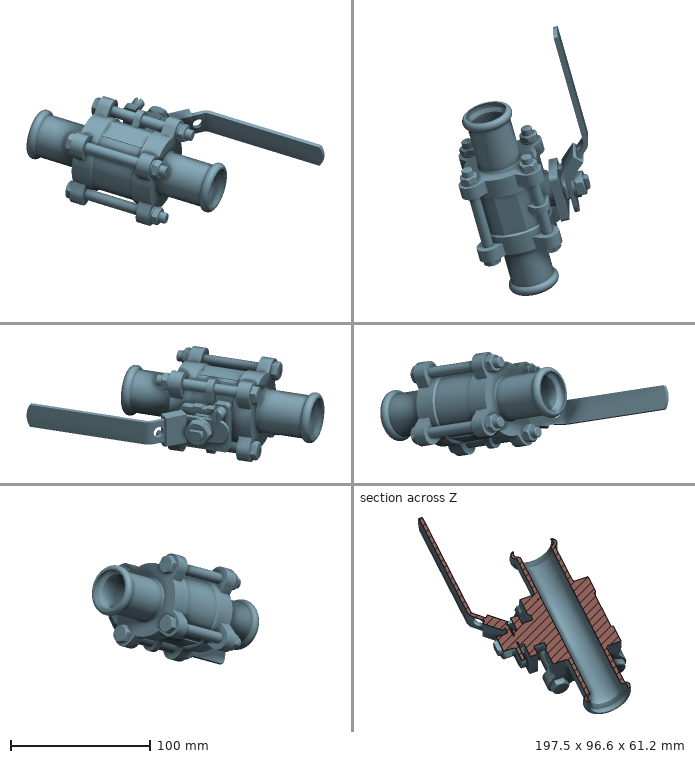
import cadquery as cq
import math


overall_length = 143.6
tube_diameter = 31.5
flow_bore = 25.4
bead_diameter = 36.8
bead_section_radius = 3.75
rim_diameter = 32.4
mouth_diameter = 29.8
groove_diameter = 32.0
groove_edge_diameter = 31.6
groove_depth = 4.6
taper_end_depth = 6.6
collar_diameter = 33.3
collar_length = 1.3

flange_diameter = 54.0
flange_outer_x = 31.0
flange_inner_x = 16.3
body_end_x = 15.4
body_diameter = 51.0
pad_width = 16.4
pad_height = 49.4
lug_offset = 22.0
lug_radius = 8.595
lug_length = 9.6
lug_taper = math.radians(8)
tab_radius = 6.8
tab_length = 5.0
tab_taper = math.radians(-6)

bolt_diameter = 8.0
bolt_end_x = 41.9
bolt_end_chamfer = 0.5
hex_across_flats = 12.0
head_height = 4.7
nut_height = 4.8
hex_rim_ratio = 0.96
hex_chamfer_angle = math.radians(38)
spring_washer_diameter = 12.4
spring_washer_height = 1.2

neck_diameter = 24.0
plate_bottom_y = 33.0
plate_top_y = 39.0
plate_width = 37.3
plate_corner_radius = 3.1
plate_step_x = 8.7
plate_low_z = 14.0
plate_step_z = 13.0
plate_slot_half = 2.0
gland_washer_diameter = 16.2
gland_washer_top_y = 40.2
gland_nut_flats = 19.0
gland_nut_top_y = 42.4
handle_bottom_y = 43.0
stem_washer_diameter = 17.4
stem_washer_top_y = 48.3
stem_nut_flats = 17.0
stem_nut_top_y = 55.0
stem_diameter = 11.3
stem_flat_width = 6.8
stem_top_y = 58.0
stem_chamfer = 1.0

post_diameter = 8.5
post_offset = 12.9
post_top_y = 48.5
post_slot_width = 1.6
post_slot_depth = 2.4
post_tail_diameter = 3.2
tail_bottom_y = 32.3

handle_top_y = 96.59 - lug_offset - lug_radius
handle_thickness = 3.0
handle_width = 17.4
handle_start_x = -21.0
handle_end_x = 197.45 - overall_length / 2
handle_tip_sag = 2.5
handle_bend_x = 12.8
handle_bend_radius = 5.0
lock_hole_diameter = 7.94
lock_hole_y = 59.5

sleeve_length = 16.2
sleeve_height = 8.7
sleeve_width = 22.3
sleeve_centre_y = 50.5
tongue_left_x = 14.4
tongue_thickness = 2.5
tongue_width = 8.0


def x_cylinder(diameter, x_start, x_end, y=0.0, z=0.0):
    """Round bar parallel to X."""
    return cq.Workplane("YZ", origin=(x_start, y, z)).circle(diameter / 2).extrude(x_end - x_start)


def turned(profile):
    """Solid of revolution about X from a closed outline of (x, radius) points."""
    return cq.Workplane("XY").polyline(profile).close().revolve(360, (0, 0, 0), (1, 0, 0))


def y_cylinder(diameter, y_start, y_end, x=0.0, z=0.0):
    """Round bar parallel to Y."""
    return cq.Workplane("XZ", origin=(x, y_start, z)).circle(diameter / 2).extrude(y_start - y_end)


def hex_prism(plane, across_flats, height, turn=0.0):
    """Hexagonal prism rising along +Z of the plane; a turn of 0 puts a corner on the plane's X axis."""
    across_corners = across_flats / math.cos(math.pi / 6)
    return (
        cq.Workplane(plane)
        .transformed(rotate=(0, 0, turn))
        .polygon(6, across_corners)
        .extrude(height)
    )


def tapered_lug(radius, taper, x_start, length, y_sign, z_sign):
    """Rounded lug at a bolt position; a positive taper widens it towards the flow axis."""
    reach = math.hypot(lug_offset, lug_offset)
    tangent_x = reach + radius * math.sin(taper)
    tangent_y = radius * math.cos(taper)
    root_y = tangent_y + tangent_x * math.tan(taper)
    direction = math.degrees(math.atan2(z_sign, y_sign))
    return (
        cq.Workplane("YZ", origin=(x_start, 0, 0))
        .transformed(rotate=(0, 0, direction))
        .moveTo(0, -root_y)
        .lineTo(tangent_x, -tangent_y)
        .threePointArc((reach + radius, 0), (tangent_x, tangent_y))
        .lineTo(0, root_y)
        .close()
        .extrude(length)
    )


def end_piece():
    """Press end, collar and lugged flange on the -X side, not yet bored."""
    end_x = -overall_length / 2
    bead_ring_radius = bead_diameter / 2 - bead_section_radius
    bead_x = end_x + math.sqrt(bead_section_radius**2 - (rim_diameter / 2 - bead_ring_radius) ** 2)
    piece = x_cylinder(tube_diameter, end_x, -flange_outer_x)
    bead = cq.Workplane("XY").center(bead_x, bead_ring_radius).circle(bead_section_radius)
    bead = bead.revolve(360, (0, -bead_ring_radius, 0), (1, -bead_ring_radius, 0))
    piece = piece.union(bead)
    piece = piece.cut(x_cylinder(bead_diameter, end_x - bead_section_radius, end_x))
    flange_profile = [
        (-flange_outer_x - collar_length, 0),
        (-flange_outer_x - collar_length, tube_diameter / 2),
        (-flange_outer_x, collar_diameter / 2),
        (-flange_outer_x, flange_diameter / 2),
        (-flange_inner_x, flange_diameter / 2),
        (-body_end_x, body_diameter / 2),
        (-body_end_x, 0),
    ]
    piece = piece.union(turned(flange_profile))
    for y_sign in (-1, 1):
        for z_sign in (-1, 1):
            lug = tapered_lug(lug_radius, lug_taper, -flange_outer_x, lug_length, y_sign, z_sign)
            piece = piece.union(lug)
    return piece


def centre_body():
    """Round body with flat pads above and below, and tabs around the two bolts on the stem side."""
    body = x_cylinder(body_diameter, -body_end_x, body_end_x)
    body = body.intersect(cq.Workplane("XY").box(2 * body_end_x, body_diameter, pad_height))
    body = body.union(cq.Workplane("XY").box(2 * body_end_x, pad_width, pad_height))
    for z_sign in (-1, 1):
        body = body.union(tapered_lug(tab_radius, tab_taper, -tab_length / 2, tab_length, 1, z_sign))
    web = cq.Workplane("XY").box(tab_length, tab_radius, 2 * lug_offset)
    body = body.union(web.translate((0, lug_offset + tab_radius / 2, 0)))
    return body.union(y_cylinder(neck_diameter, 0, plate_bottom_y))


def bored(valve):
    """Open the flow bore and the tapered mouths of the press ends."""
    half_length = overall_length / 2
    valve = valve.cut(x_cylinder(flow_bore, -half_length, half_length))
    mouth = (
        cq.Workplane("XY")
        .moveTo(-half_length, 0)
        .lineTo(-half_length, mouth_diameter / 2)
        .threePointArc(
            (-half_length + groove_depth / 2, groove_diameter / 2),
            (-half_length + groove_depth, groove_edge_diameter / 2),
        )
        .lineTo(-half_length + taper_end_depth, flow_bore / 2)
        .lineTo(-half_length + taper_end_depth, 0)
        .close()
        .revolve(360, (0, 0, 0), (1, 0, 0))
    )
    return valve.cut(mouth).cut(mouth.mirror("YZ"))


def chamfered_hex(origin, normal, x_dir, across_flats, height, turn=0.0, both_ends=True):
    """Hexagonal nut with its corners trimmed by cones at the far end, or at both ends."""
    plane = cq.Plane(origin=origin, normal=normal, xDir=x_dir)
    corner_radius = across_flats / 2 / math.cos(math.pi / 6)
    rim_radius = across_flats / 2 * hex_rim_ratio
    drop = (corner_radius - rim_radius) * math.tan(hex_chamfer_angle)
    near_radius = rim_radius if both_ends else corner_radius
    profile = [(0, 0), (near_radius, 0)]
    if both_ends:
        profile.append((corner_radius, drop))
    profile += [(corner_radius, height - drop), (rim_radius, height), (0, height)]
    section = cq.Plane(origin=origin, xDir=x_dir, normal=plane.yDir * -1)
    trim = cq.Workplane(section).polyline(profile).close().revolve(360, (0, 0, 0), (0, 1, 0))
    return hex_prism(plane, across_flats, height, turn).intersect(trim)


def flange_bolt(y_sign, z_sign):
    """Bolt with head, spring washer and nut; neighbouring bolts are turned by 30 degrees."""
    y = y_sign * lug_offset
    z = z_sign * lug_offset
    turn = 30 if y_sign == z_sign else 0
    nut_x = flange_outer_x + spring_washer_height
    shank = x_cylinder(bolt_diameter, -flange_outer_x, bolt_end_x, y, z)
    bolt = shank.faces(">X").chamfer(bolt_end_chamfer)
    head = chamfered_hex(
        (-flange_outer_x, y, z), (-1, 0, 0), (0, 1, 0), hex_across_flats, head_height, turn, both_ends=False
    )
    bolt = bolt.union(head)
    bolt = bolt.union(x_cylinder(spring_washer_diameter, flange_outer_x, nut_x, y, z))
    nut = chamfered_hex((nut_x, y, z), (1, 0, 0), (0, 1, 0), hex_across_flats, nut_height, turn)
    return bolt.union(nut)


def mounting_plate():
    """Plate on the neck: a full-height ear on the post side, and a lower stepped +Z edge beyond it."""
    edge = plate_width / 2
    outline = [
        (-edge, -edge),
        (edge, -edge),
        (edge, plate_step_z),
        (plate_step_x, plate_step_z),
        (plate_step_x, plate_low_z),
        (plate_slot_half, plate_low_z),
        (plate_slot_half, plate_step_z),
        (-plate_slot_half, plate_step_z),
        (-plate_slot_half, plate_low_z),
        (-plate_step_x, plate_low_z),
        (-plate_step_x, edge),
        (-edge, edge),
    ]
    plate = (
        cq.Workplane("XZ", origin=(0, plate_bottom_y, 0))
        .polyline(outline)
        .close()
        .extrude(plate_bottom_y - plate_top_y)
    )
    for x, z in ((-edge, -edge), (edge, -edge), (edge, plate_step_z), (-edge, edge)):
        corner = cq.selectors.NearestToPointSelector((x, (plate_bottom_y + plate_top_y) / 2, z))
        plate = plate.edges("|Y").edges(corner).fillet(plate_corner_radius)
    return plate


def stop_post():
    """Slotted post standing on the plate, with a thin tail through it."""
    x = -post_offset
    z = post_offset
    post = y_cylinder(post_diameter, plate_top_y, post_top_y, x, z)
    slot = cq.Workplane("XY").box(post_slot_width, 2 * post_slot_depth, post_diameter)
    post = post.cut(slot.translate((x, post_top_y, z)))
    return post.union(y_cylinder(post_tail_diameter, tail_bottom_y, plate_top_y, x, z))


def stem():
    """Stem with two flats at its end, and the washers and nuts stacked on it."""
    end = y_cylinder(stem_diameter, plate_top_y, stem_top_y).faces(">Y").chamfer(stem_chamfer)
    flats = cq.Workplane("XY").box(stem_diameter, 2 * stem_top_y, stem_flat_width)
    stack = end.intersect(flats)
    stack = stack.union(y_cylinder(gland_washer_diameter, plate_top_y, gland_washer_top_y))
    gland_height = gland_nut_top_y - gland_washer_top_y
    gland_origin = (0, gland_washer_top_y, 0)
    stack = stack.union(
        chamfered_hex(gland_origin, (0, 1, 0), (1, 0, 0), gland_nut_flats, gland_height, both_ends=False)
    )
    stack = stack.union(y_cylinder(stem_diameter, plate_top_y, stem_washer_top_y))
    handle_top = handle_bottom_y + handle_thickness
    stack = stack.union(y_cylinder(stem_washer_diameter, handle_top, stem_washer_top_y))
    nut_height_y = stem_nut_top_y - stem_washer_top_y
    nut_origin = (0, stem_washer_top_y, 0)
    return stack.union(chamfered_hex(nut_origin, (0, 1, 0), (1, 0, 0), stem_nut_flats, nut_height_y))


def handle():
    """Bent strip with a round hub end, a slightly arched tip and a lock hole in its slope."""
    low_y = handle_bottom_y + handle_thickness / 2
    high_y = handle_top_y - handle_thickness / 2
    upper_bend_x = handle_bend_x + high_y - low_y
    half_width = handle_width / 2
    grip_bottom_y = handle_top_y - handle_thickness
    shift = handle_thickness / 2 * math.tan(math.pi / 8)
    strip = (
        cq.Workplane("XY")
        .moveTo(handle_start_x, handle_bottom_y)
        .lineTo(handle_bend_x + shift, handle_bottom_y)
        .lineTo(upper_bend_x + shift, grip_bottom_y)
        .lineTo(handle_end_x, grip_bottom_y)
        .lineTo(handle_end_x, handle_top_y)
        .lineTo(upper_bend_x - shift, handle_top_y)
        .lineTo(handle_bend_x - shift, handle_bottom_y + handle_thickness)
        .lineTo(handle_start_x, handle_bottom_y + handle_thickness)
        .close()
        .extrude(half_width, both=True)
    )
    upper_outer = cq.selectors.NearestToPointSelector((upper_bend_x - shift, handle_top_y, 0))
    upper_inner = cq.selectors.NearestToPointSelector((upper_bend_x + shift, grip_bottom_y, 0))
    strip = strip.edges("|Z").edges(upper_outer).fillet(handle_bend_radius + handle_thickness)
    strip = strip.edges("|Z").edges(upper_inner).fillet(handle_bend_radius)
    outline = (
        cq.Workplane("XZ")
        .moveTo(handle_start_x + half_width, half_width)
        .lineTo(handle_end_x - handle_tip_sag, half_width)
        .threePointArc((handle_end_x, 0), (handle_end_x - handle_tip_sag, -half_width))
        .lineTo(handle_start_x + half_width, -half_width)
        .threePointArc((handle_start_x, 0), (handle_start_x + half_width, half_width))
        .close()
        .extrude(-2 * handle_top_y)
    )
    hole_x = handle_bend_x + lock_hole_y - low_y
    hole_plane = cq.Plane(origin=(hole_x, lock_hole_y, 0), xDir=(0, 0, 1), normal=(-1, 1, 0))
    hole = cq.Workplane(hole_plane).circle(lock_hole_diameter / 2).extrude(handle_thickness, both=True)
    return strip.intersect(outline).cut(hole)


def lock_sleeve():
    """Sleeve around the sloped strip, with a tongue that drops through the plate."""
    centre_x = handle_bend_x + sleeve_centre_y - handle_bottom_y - handle_thickness / 2
    sleeve = cq.Workplane("XY").box(sleeve_length, sleeve_height, sleeve_width)
    sleeve = sleeve.rotate((0, 0, 0), (0, 0, 1), 45).translate((centre_x, sleeve_centre_y, 0))
    tongue_height = handle_bottom_y + handle_thickness / 2 - tail_bottom_y
    tongue = cq.Workplane("XY").box(tongue_thickness, tongue_height, tongue_width)
    tongue_x = tongue_left_x + tongue_thickness / 2
    return sleeve.union(tongue.translate((tongue_x, tail_bottom_y + tongue_height / 2, 0)))


left_end = end_piece()
valve = left_end.union(left_end.mirror("YZ")).union(centre_body())
valve = bored(valve)
for y_side in (-1, 1):
    for z_side in (-1, 1):
        valve = valve.union(flange_bolt(y_side, z_side))
for build in (mounting_plate, stop_post, stem, handle, lock_sleeve):
    valve = valve.union(build())
result = valve